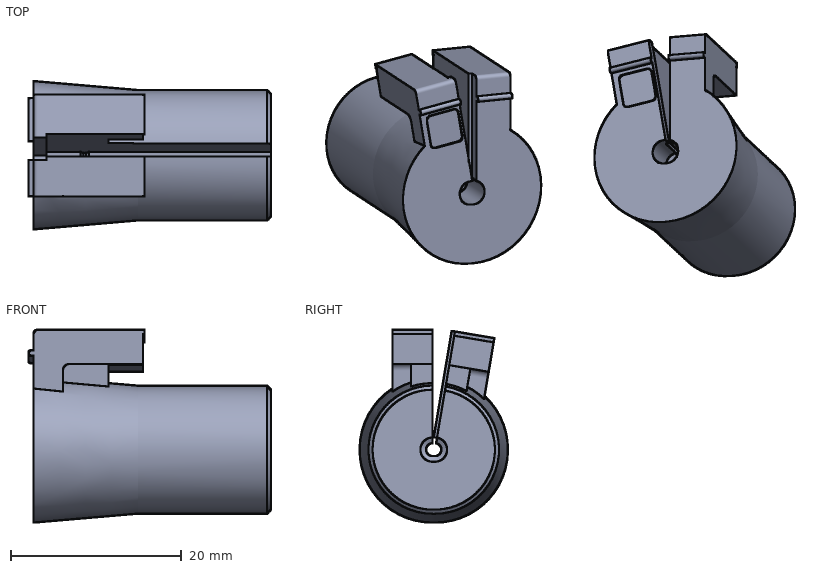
import cadquery as cq


flare_radius = 8.55
flare_length = 12.25
barrel_radius = 7.5
sleeve_length = 27.8
end_chamfer = 0.48
half_gap = 0.28
opening_angle = 9.6

bore_radius = 1.42
neck_radius = 0.75
neck_middle = 6.0
neck_half_length = 0.15
neck_cone_length = 0.37

tab_top = 14.03
tab_width = 4.7
tab_length = 12.85
tab_root = 5.1
tab_edge_round = 0.48
post_length = 3.45
overhang_height = 10.03
overhang_round = 0.8
web_width = 2.5
web_length = 8.8
cut_margin = 0.28
ledge_height = 0.5
ledge_depth = 0.17

ridge_reach = 0.6
ridge_round = ridge_reach / 2
ridge_height = 11.33
ridge_root = 0.28

step_length = 1.5
step_depth = 0.4
pocket_size = 4.0
pocket_corner = 0.5
pocket_depth = 0.2
pocket_center_y = -1.9
pocket_center_z = 8.52


def box(x_range, y_range, z_range):
    """Block given by its limits along the three axes."""
    (x0, x1), (y0, y1), (z0, z1) = x_range, y_range, z_range
    return cq.Workplane("XY").box(x1 - x0, y1 - y0, z1 - z0, centered=False).translate((x0, y0, z0))


def sleeve_profile():
    """Lower half of the lengthwise section, in the XZ plane."""
    return (
        cq.Workplane("XZ")
        .moveTo(0, 0)
        .lineTo(0, -flare_radius)
        .lineTo(flare_length, -barrel_radius)
        .lineTo(sleeve_length - end_chamfer, -barrel_radius)
        .lineTo(sleeve_length, -barrel_radius + end_chamfer)
        .lineTo(sleeve_length, 0)
        .close()
    )


def half_sleeve():
    """Half of the solid sleeve on the -Y side."""
    whole = sleeve_profile().revolve(360, (0, 0, 0), (1, 0, 0))
    side = 2 * flare_radius
    return whole.intersect(box((0, sleeve_length), (-side, 0), (-side, side)))


def bore():
    """Through bore with a neck that has a cone on each side."""
    inner = neck_half_length
    outer = neck_half_length + neck_cone_length
    return (
        cq.Workplane("XZ")
        .moveTo(0, 0)
        .lineTo(0, bore_radius)
        .lineTo(neck_middle - outer, bore_radius)
        .lineTo(neck_middle - inner, neck_radius)
        .lineTo(neck_middle + inner, neck_radius)
        .lineTo(neck_middle + outer, bore_radius)
        .lineTo(sleeve_length, bore_radius)
        .lineTo(sleeve_length, 0)
        .close()
        .revolve(360, (0, 0, 0), (1, 0, 0))
    )


def tab():
    """Overhanging tab with a web below it and a ledge along its far end."""
    upper = box((0, tab_length), (-tab_width, 0), (tab_root, tab_top))
    undercut = (
        box(
            (post_length, tab_length + cut_margin),
            (-tab_width - cut_margin, -web_width),
            (tab_root - cut_margin, overhang_height),
        )
        .edges("<X and >Z")
        .fillet(overhang_round)
    )
    end_undercut = box(
        (web_length, tab_length + cut_margin),
        (-web_width - cut_margin, cut_margin),
        (tab_root - cut_margin, overhang_height),
    )
    ledge = box(
        (tab_length, tab_length + ledge_depth),
        (-tab_width, 0),
        (tab_top - ledge_height, tab_top),
    )
    return upper.cut(undercut).cut(end_undercut).union(ledge)


def ridge(front_face_y):
    """Round-nosed ridge across the front of the tab."""
    return (
        cq.Workplane("XZ", origin=(0, front_face_y, 0))
        .moveTo(ridge_root, ridge_height - ridge_round)
        .lineTo(-ridge_round, ridge_height - ridge_round)
        .threePointArc((-ridge_reach, ridge_height), (-ridge_round, ridge_height + ridge_round))
        .lineTo(ridge_root, ridge_height + ridge_round)
        .close()
        .extrude(tab_width + front_face_y)
    )


def half_shell(front_face_y):
    """Solid half with its tab and ridge; front_face_y places the parting face along the step."""
    step = box((0, step_length), sorted((0, front_face_y)), (0, tab_top))
    shell = half_sleeve().union(tab())
    shell = shell.union(step) if front_face_y > 0 else shell.cut(step)
    shell = shell.edges("<X and >Z").fillet(tab_edge_round)
    return shell.union(ridge(front_face_y))


def label_pocket():
    """Shallow rounded square in the front face."""
    square = box(
        (0, pocket_depth),
        (pocket_center_y - pocket_size / 2, pocket_center_y + pocket_size / 2),
        (pocket_center_z - pocket_size / 2, pocket_center_z + pocket_size / 2),
    )
    return square.edges("|X").fillet(pocket_corner)


def swung_half():
    """+Y half, with the raised step and the label pocket."""
    return (
        half_shell(step_depth)
        .cut(label_pocket())
        .mirror("XZ")
        .rotate((0, 0, 0), (1, 0, 0), -opening_angle)
        .translate((0, half_gap, 0))
    )


def hinge():
    """Strip below the bore that joins the two halves."""
    return sleeve_profile().extrude(-half_gap)


fixed_half = half_shell(-step_depth)
bores = bore().union(bore().translate((0, half_gap, 0)))
result = fixed_half.union(hinge()).union(swung_half()).cut(bores)